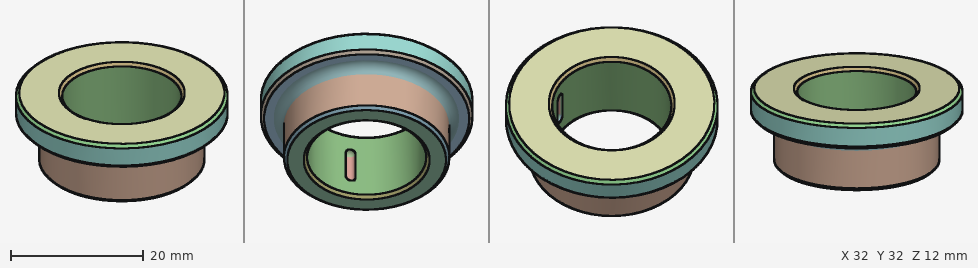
import cadquery as cq

flange_diameter = 32.0
body_diameter = 25.0
bore_diameter = 18.0
total_height = 12.0
flange_thickness = 4.0
chamfer_size = 0.5
neck_fillet = 1.5

pocket_width = 1.5
pocket_length = 6.0
pocket_depth = 1.0

flange_radius = flange_diameter / 2
body_radius = body_diameter / 2
bore_radius = bore_diameter / 2
body_height = total_height - flange_thickness


def make_bushing():
    """Revolve the flanged sleeve, chamfered at every rim, about Z."""
    profile = (
        cq.Workplane("XZ")
        .moveTo(bore_radius + chamfer_size, 0)
        .lineTo(body_radius - chamfer_size, 0)
        .lineTo(body_radius, chamfer_size)
        .lineTo(body_radius, body_height - neck_fillet)
        .radiusArc((body_radius + neck_fillet, body_height), neck_fillet)
        .lineTo(flange_radius - chamfer_size, body_height)
        .lineTo(flange_radius, body_height + chamfer_size)
        .lineTo(flange_radius, total_height - chamfer_size)
        .lineTo(flange_radius - chamfer_size, total_height)
        .lineTo(bore_radius + chamfer_size, total_height)
        .lineTo(bore_radius, total_height - chamfer_size)
        .lineTo(bore_radius, chamfer_size)
        .close()
    )
    return profile.revolve(360, (0, 0, 0), (0, 1, 0))


def make_pocket():
    """Upright slot from the bore axis into the wall, with a rounded floor."""
    tip_radius = pocket_width / 2
    straight_length = pocket_length - pocket_width
    floor_axis_x = bore_radius + pocket_depth - tip_radius
    pocket = (
        cq.Workplane("YZ")
        .center(0, total_height / 2)
        .slot2D(pocket_length, pocket_width, 90)
        .extrude(floor_axis_x)
    )
    rounded_floor = (
        cq.Workplane("XY")
        .center(floor_axis_x, 0)
        .workplane(offset=(total_height - straight_length) / 2)
        .circle(tip_radius)
        .extrude(straight_length)
    )
    pocket = pocket.union(rounded_floor)
    for side in (-1, 1):
        end_height = total_height / 2 + side * straight_length / 2
        ball = cq.Workplane("XY").sphere(tip_radius).translate((floor_axis_x, 0, end_height))
        pocket = pocket.union(ball)
    return pocket


result = make_bushing().cut(make_pocket())